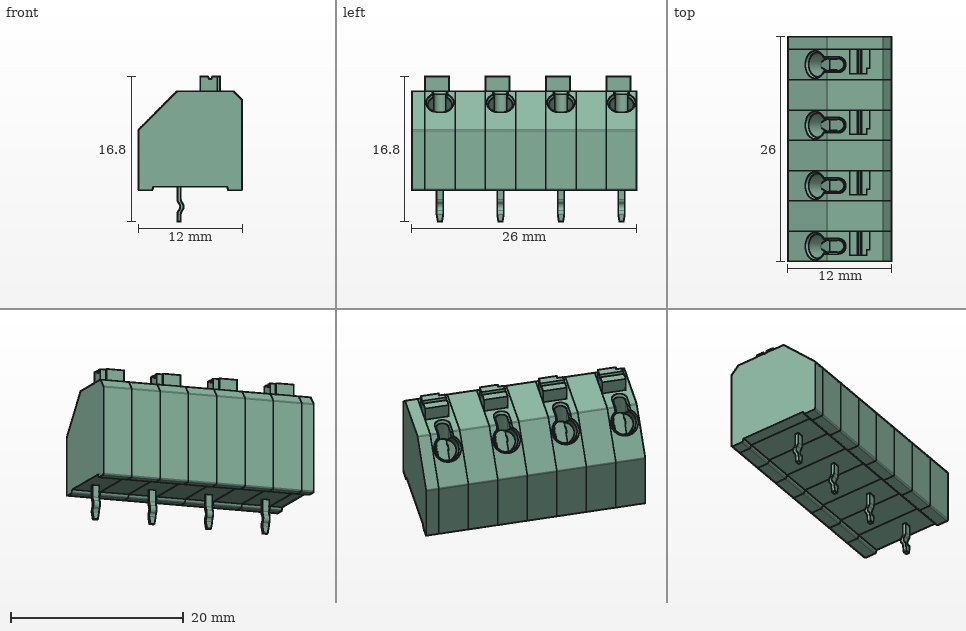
import cadquery as cq
import math


pole_count = 4
spacer_count = pole_count - 1
module_width = 3.5
pole_pitch = 2 * module_width
end_plate_width = 1.5

depth = 12.0
height = 11.5
slope_run = 4.5
back_chamfer = 1.0
foot_length = 1.6
foot_height = 0.4
foot_flare = 0.15
corner_radius = 0.18

slope_angle = 45
entry_radius = 1.4
entry_x = 3.15
entry_depth = 3.5
mouth_widening = 0.2
mouth_depth = 0.35
bottom_flat_start = 2.28
bottom_flat_angle = 12
side_flat_start = 2.42
side_flat_angle = 36

slot_radius = 0.7
slot_end_x = 6.5

button_x = 7.15
button_length = 2.3
button_width = 2.8
button_height = 1.7
step_length = 0.35
step_width = 0.65
notch_top = 0.5
notch_bottom = 0.25
notch_depth = 0.3

pin_x = 4.5
pin_thickness = 0.42
pin_width = 0.8
pin_length = 3.6
kink_z = -1.88
kink_half_height = 0.87
kink_offset = 0.32
tip_width = 0.5
tip_length = 0.85

mid_y = module_width / 2
slope_foot_z = height - slope_run
entry_z = slope_foot_z + entry_x


def housing_block(width):
    """Housing section extruded from Y = 0 to Y = width."""
    outline = [
        (0, 0),
        (foot_length, 0),
        (foot_length + foot_flare, foot_height),
        (depth - foot_length - foot_flare, foot_height),
        (depth - foot_length, 0),
        (depth, 0),
        (depth, height - back_chamfer),
        (depth - back_chamfer, height),
        (slope_run, height),
        (0, slope_foot_z),
    ]
    block = cq.Workplane("XZ").polyline(outline).close().extrude(-width)
    recess_edges = cq.selectors.BoxSelector(
        (foot_length + foot_flare / 2, -1, foot_height / 2),
        (depth - foot_length - foot_flare / 2, width + 1, foot_height * 1.5),
    )
    along_y = cq.selectors.ParallelDirSelector(cq.Vector(0, 1, 0))
    return block.edges(along_y - recess_edges).fillet(corner_radius)


def wire_entry():
    """Blind round hole with a widened mouth, narrowed by three flats at its inner end."""
    bore = cq.Workplane("XY").circle(entry_radius).extrude(-entry_depth)
    mouth = (
        cq.Workplane("XY")
        .circle(entry_radius + mouth_widening)
        .workplane(offset=-mouth_depth)
        .circle(entry_radius)
        .loft()
    )
    bottom_flat = funnel_flat(bottom_flat_start, bottom_flat_angle)
    side_flat = funnel_flat(side_flat_start, side_flat_angle)
    for flat in (bottom_flat, turned(side_flat, 90), turned(side_flat, -90)):
        bore = bore.cut(flat)
    return place_on_slope(bore.union(mouth))


def funnel_flat(start, angle):
    """Wedge that narrows the bore on its lower side, from the depth start to its end."""
    rise = (entry_depth - start) * math.tan(math.radians(angle))
    return (
        cq.Workplane("XZ")
        .polyline([
            (-entry_radius, -start),
            (rise - entry_radius, -entry_depth),
            (-entry_radius, -entry_depth),
        ])
        .close()
        .extrude(entry_radius, both=True)
    )


def turned(shape, angle):
    """Turn a shape about the Z axis."""
    return shape.rotate((0, 0, 0), (0, 0, 1), angle)


def place_on_slope(shape):
    """Move a shape from the XY plane at the origin onto the slope at the wire entry."""
    return shape.rotate((0, 0, 0), (0, 1, 0), -slope_angle).translate((entry_x, mid_y, entry_z))


def slot():
    """Vertical round-ended slot opening into the upper half of the wire entry."""
    end_center_x = slot_end_x - slot_radius

    def outline(plane, radius):
        return (
            plane.moveTo(entry_x, mid_y - radius)
            .lineTo(end_center_x, mid_y - radius)
            .threePointArc((end_center_x + radius, mid_y), (end_center_x, mid_y + radius))
            .lineTo(entry_x, mid_y + radius)
            .close()
        )

    shaft = outline(cq.Workplane("XY").workplane(offset=height), slot_radius).extrude(-height)
    upper_half_of_entry = place_on_slope(
        cq.Workplane("XY")
        .box(2 * depth, module_width, 2 * depth, centered=(False, True, False))
        .translate((0, 0, -entry_depth))
    )
    shaft = shaft.intersect(upper_half_of_entry)

    rim = outline(cq.Workplane("XY").workplane(offset=height), slot_radius + mouth_widening)
    rim = outline(rim.workplane(offset=-mouth_depth), slot_radius).loft()

    slope_rim = (
        cq.Workplane("YZ")
        .polyline([
            (-slot_radius - mouth_widening, 0),
            (slot_radius + mouth_widening, 0),
            (slot_radius, -mouth_depth),
            (-slot_radius, -mouth_depth),
        ])
        .close()
        .extrude((slope_run - entry_x) / math.cos(math.radians(slope_angle)))
    )
    return shaft.union(rim).union(place_on_slope(slope_rim))


def button():
    """Push button with a screwdriver notch, flush with the +Y face of the pole."""
    body = cq.Workplane("XY").box(button_length, button_width, button_height, centered=False)
    step = (
        cq.Workplane("XY")
        .box(step_length, step_width, button_height, centered=False)
        .translate((button_length - step_length, 0, 0))
    )
    middle = button_length / 2
    notch = (
        cq.Workplane("XZ")
        .polyline([
            (middle - notch_top / 2, button_height),
            (middle - notch_bottom / 2, button_height - notch_depth),
            (middle + notch_bottom / 2, button_height - notch_depth),
            (middle + notch_top / 2, button_height),
        ])
        .close()
        .extrude(-button_width)
    )
    return body.cut(step).cut(notch).translate((button_x, module_width - button_width, height))


def pin():
    """Flat solder pin with a kink of smooth arcs and a tapered tip."""
    kink_top = kink_z + kink_half_height
    kink_bottom = kink_z - kink_half_height
    upper_mid = kink_z + kink_half_height / 2
    lower_mid = kink_z - kink_half_height / 2
    back_x = pin_x + pin_thickness
    strip = (
        cq.Workplane("XZ")
        .moveTo(pin_x, foot_height)
        .lineTo(pin_x, kink_top)
        .tangentArcPoint((pin_x + kink_offset / 2, upper_mid), relative=False)
        .tangentArcPoint((pin_x + kink_offset / 2, lower_mid), relative=False)
        .tangentArcPoint((pin_x, kink_bottom), relative=False)
        .lineTo(pin_x, -pin_length)
        .lineTo(back_x, -pin_length)
        .lineTo(back_x, kink_bottom)
        .tangentArcPoint((back_x + kink_offset / 2, lower_mid), relative=False)
        .tangentArcPoint((back_x + kink_offset / 2, upper_mid), relative=False)
        .tangentArcPoint((back_x, kink_top), relative=False)
        .lineTo(back_x, foot_height)
        .close()
        .extrude(pin_width / 2, both=True)
    )
    blade = (
        cq.Workplane("YZ")
        .polyline([
            (-pin_width / 2, foot_height),
            (-pin_width / 2, tip_length - pin_length),
            (-tip_width / 2, -pin_length),
            (tip_width / 2, -pin_length),
            (pin_width / 2, tip_length - pin_length),
            (pin_width / 2, foot_height),
        ])
        .close()
        .extrude(depth)
    )
    return strip.intersect(blade).translate((0, mid_y, 0))


def pole():
    """Pole housing with wire entry, slot, button and pin."""
    housing = housing_block(module_width).cut(wire_entry()).cut(slot())
    return housing.union(button()).union(pin())


pole_body = pole()
spacer_body = housing_block(module_width)

poles = [pole_body.translate((0, i * pole_pitch, 0)) for i in range(pole_count)]
spacers = [spacer_body.translate((0, i * pole_pitch + module_width, 0)) for i in range(spacer_count)]
row_length = (pole_count + spacer_count) * module_width
end_plate = housing_block(end_plate_width).translate((0, row_length, 0))

bodies = [*poles, *spacers, end_plate]
result = cq.Compound.makeCompound([body.val() for body in bodies])